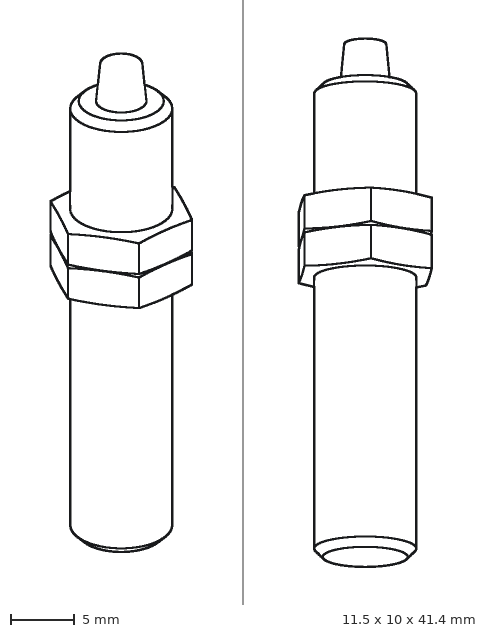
import cadquery as cq
import math

sleeve_diameter = 8.0
sleeve_length = 38.0
sleeve_chamfer = 0.67
overall_height = 41.4
tip_base_diameter = 3.95
tip_top_diameter = 3.3
tip_edge_fillet = 0.2

nut_count = 2
nut_thickness = 3.0
nut_across_flats = 10.0
nut_bottom_z = 22.5
nut_face_diameter = 9.8
nut_chamfer_angle = 10.0

tip_height = overall_height - sleeve_length
nut_across_corners = nut_across_flats / math.cos(math.radians(30))
nut_chamfer_width = (nut_across_corners - nut_face_diameter) / 2
nut_chamfer_drop = nut_chamfer_width * math.tan(math.radians(nut_chamfer_angle))


def make_sleeve():
    """Round sleeve chamfered at both ends, in one piece with its tapered tip."""
    barrel = (
        cq.Workplane("XY")
        .circle(sleeve_diameter / 2)
        .extrude(sleeve_length)
        .faces("<Z or >Z")
        .chamfer(sleeve_chamfer)
    )
    tip = (
        cq.Workplane("XY", origin=(0, 0, sleeve_length))
        .circle(tip_base_diameter / 2)
        .workplane(offset=tip_height)
        .circle(tip_top_diameter / 2)
        .loft()
        .faces(">Z")
        .edges()
        .fillet(tip_edge_fillet)
    )
    return barrel.union(tip)


def make_nut(bottom_z):
    """Hexagon nut with corners along X, shallow corner chamfers and a sleeve bore."""
    hexagon = cq.Workplane("XY").polygon(6, nut_across_corners).extrude(nut_thickness)
    corner_radius = nut_across_corners / 2
    face_radius = nut_face_diameter / 2
    turned_blank = (
        cq.Workplane("XZ")
        .moveTo(0, 0)
        .lineTo(face_radius, 0)
        .lineTo(corner_radius, nut_chamfer_drop)
        .lineTo(corner_radius, nut_thickness - nut_chamfer_drop)
        .lineTo(face_radius, nut_thickness)
        .lineTo(0, nut_thickness)
        .close()
        .revolve(360, (0, 0, 0), (0, 1, 0))
    )
    bore = cq.Workplane("XY").circle(sleeve_diameter / 2).extrude(nut_thickness)
    return hexagon.intersect(turned_blank).cut(bore).translate((0, 0, bottom_z))


sleeve = make_sleeve()
nuts = [make_nut(nut_bottom_z + index * nut_thickness) for index in range(nut_count)]

result = cq.Compound.makeCompound([sleeve.val(), *[nut.val() for nut in nuts]])